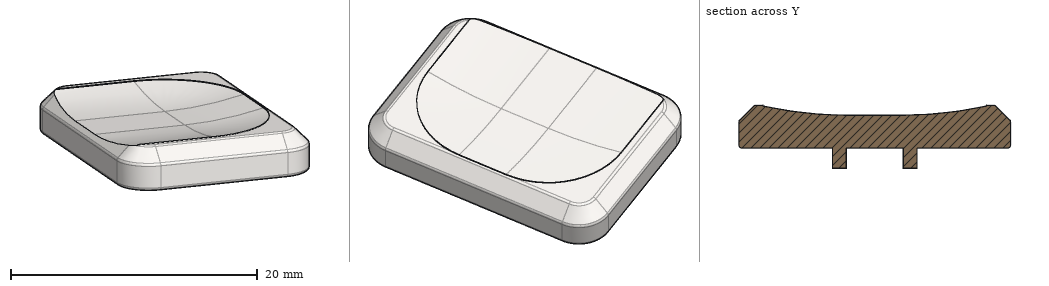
import cadquery as cq
import math

length = 22.05
width = 16.55
plate_height = 3.5
corner_radius = 2.75
bevel_inset = 1.28
bevel_drop = 1.28
bevel_edge_round = 0.33
top_edge_round = 0.33
bottom_edge_round = 0.26
selection_margin = 0.02

dish_half_flat = 2.2
dish_radius = 6.85
dish_depth = 0.82
dish_lip = 0.07
cut_overrun = 1.1

leg_height = 1.63
leg_thickness = 1.15
leg_width = 3.0
leg_spacing = 5.73


def make_plate():
    """Rounded rectangle with a bevelled top and softened edges."""
    plate = (
        cq.Workplane("XY")
        .rect(length, width)
        .extrude(plate_height)
        .edges("|Z")
        .fillet(corner_radius)
    )
    plate = plate.faces(">Z").edges().chamfer(bevel_drop, bevel_inset)
    bevel_foot = cq.selectors.BoxSelector(
        (-length, -width, plate_height - bevel_drop - selection_margin),
        (length, width, plate_height - bevel_drop + selection_margin),
        boundingbox=True,
    )
    plate = plate.edges(bevel_foot).fillet(bevel_edge_round)
    plate = plate.faces(">Z").edges().fillet(top_edge_round)
    return plate.faces("<Z").edges().fillet(bottom_edge_round)


def dish_half_section(plane, direction):
    """Half section of the dish, from its lowest line out to the rim wall.

    The floor is an arc that is level at the lowest line.
    """
    floor = plate_height - dish_depth
    rim = plate_height - dish_lip
    top = plate_height + cut_overrun
    rise = rim - floor
    arc_radius = (dish_radius**2 + rise**2) / (2 * rise)
    mid_reach = dish_radius / 2
    mid_height = floor + arc_radius - math.sqrt(arc_radius**2 - mid_reach**2)
    return (
        cq.Workplane(plane)
        .moveTo(0, floor)
        .threePointArc((direction * mid_reach, mid_height), (direction * dish_radius, rim))
        .lineTo(direction * dish_radius, top)
        .lineTo(0, top)
        .close()
    )


def make_dish():
    """Flat-centred trough whose +Y end turns up through two round corners."""
    front_run = width / 2 + cut_overrun
    flat_width = 2 * dish_half_flat

    dish = cq.Workplane("XY", origin=(0, -front_run, plate_height - dish_depth)).box(
        flat_width, front_run, dish_depth + cut_overrun, centered=(True, False, False)
    )
    back_plane = cq.Plane(origin=(-dish_half_flat, 0, 0), xDir=(0, 1, 0), normal=(1, 0, 0))
    dish = dish.union(dish_half_section(back_plane, 1).extrude(flat_width))

    for side in (-1, 1):
        side_plane = cq.Plane(origin=(side * dish_half_flat, 0, 0), xDir=(1, 0, 0), normal=(0, -1, 0))
        dish = dish.union(dish_half_section(side_plane, side).extrude(front_run))
        corner = dish_half_section(side_plane, side).revolve(90, (0, 0), (0, side))
        dish = dish.union(corner)
    return dish


def make_legs():
    """Two rectangular legs hanging from the underside."""
    return (
        cq.Workplane("XY")
        .pushPoints([(-leg_spacing / 2, 0), (leg_spacing / 2, 0)])
        .rect(leg_thickness, leg_width)
        .extrude(-leg_height)
    )


result = make_plate().cut(make_dish()).union(make_legs())